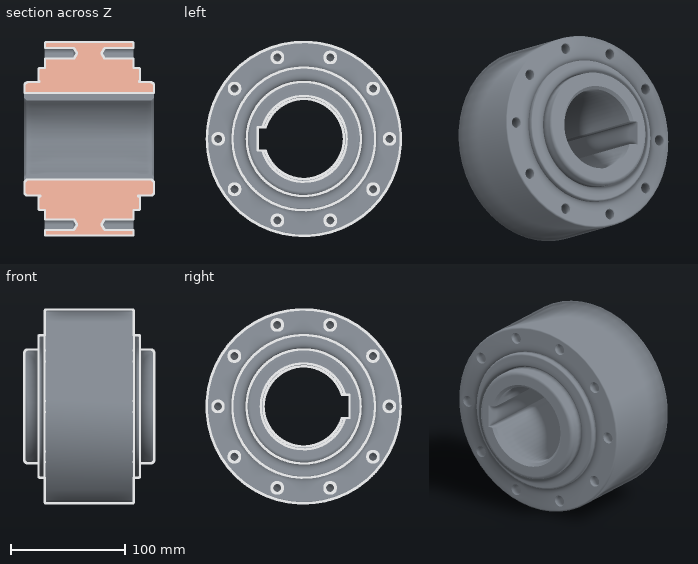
import cadquery as cq
import math

hub_length = 114.0
hub_diameter = 100.0
hub_fillet = 3.5

collar_length = 89.2
collar_diameter = 125.0
collar_fillet = 1.7

body_length = 78.0
body_diameter = 170.0
body_fillet = 1.7

bore_diameter = 70.0
bore_chamfer = 2.5

keyway_width = 20.0
keyway_reach = 40.1

hole_count = 10
hole_circle_diameter = 150.0
hole_diameter = 9.0
hole_chamfer = 0.5
hole_depth = 25.5
drill_point_angle = 118.0


def disc(diameter, length):
    """Cylinder on the X axis, centred on X = 0."""
    return cq.Workplane("YZ", origin=(-length / 2, 0, 0)).circle(diameter / 2).extrude(length)


def rounded_disc(diameter, length, fillet):
    """Disc with the rims of both end faces rounded."""
    return disc(diameter, length).faces("<X or >X").edges().fillet(fillet)


def hub_groove():
    """Ring between the hub and the rounded inner rim of the collar's -X face."""
    collar_face = -collar_length / 2
    hub_radius = hub_diameter / 2
    section = (
        cq.Workplane("XY")
        .moveTo(collar_face, hub_radius)
        .lineTo(collar_face, hub_radius + collar_fillet)
        .radiusArc((collar_face + collar_fillet, hub_radius), -collar_fillet)
        .close()
    )
    return section.revolve(360, (0, 0, 0), (1, 0, 0))


def bore_mouth_cone():
    """Tapered plug that chamfers the bore where it opens on the hub's -X face."""
    mouth_radius = bore_diameter / 2 + bore_chamfer
    face = cq.Workplane("YZ", origin=(-hub_length / 2, 0, 0)).circle(mouth_radius)
    return face.workplane(offset=bore_chamfer).circle(bore_diameter / 2).loft()


def blind_hole(angle):
    """Drilled hole with a chamfered mouth and conical bottom, entering the body's -X face."""
    hole_radius = hole_diameter / 2
    body_face = -body_length / 2
    point_height = hole_radius / math.tan(math.radians(drill_point_angle / 2))
    axis_y = hole_circle_diameter / 2
    section = (
        cq.Workplane("XY")
        .moveTo(body_face, axis_y)
        .lineTo(body_face, axis_y + hole_radius + hole_chamfer)
        .lineTo(body_face + hole_chamfer, axis_y + hole_radius)
        .lineTo(body_face + hole_depth, axis_y + hole_radius)
        .lineTo(body_face + hole_depth + point_height, axis_y)
        .close()
    )
    hole = section.revolve(360, (0, axis_y, 0), (1, axis_y, 0))
    return hole.rotate((0, 0, 0), (1, 0, 0), angle)


hub = rounded_disc(hub_diameter, hub_length, hub_fillet)
collar = rounded_disc(collar_diameter, collar_length, collar_fillet)
body = rounded_disc(body_diameter, body_length, body_fillet)
result = body.union(collar).union(hub)

groove = hub_groove()
result = result.cut(groove).cut(groove.mirror("YZ"))

bore = disc(bore_diameter, hub_length)
bore_mouth = bore_mouth_cone()
keyway = cq.Workplane("XY").box(hub_length, keyway_reach, keyway_width).translate((0, keyway_reach / 2, 0))
result = result.cut(bore).cut(bore_mouth).cut(bore_mouth.mirror("YZ")).cut(keyway)

for index in range(hole_count):
    hole = blind_hole(index * 360 / hole_count)
    result = result.cut(hole).cut(hole.mirror("YZ"))